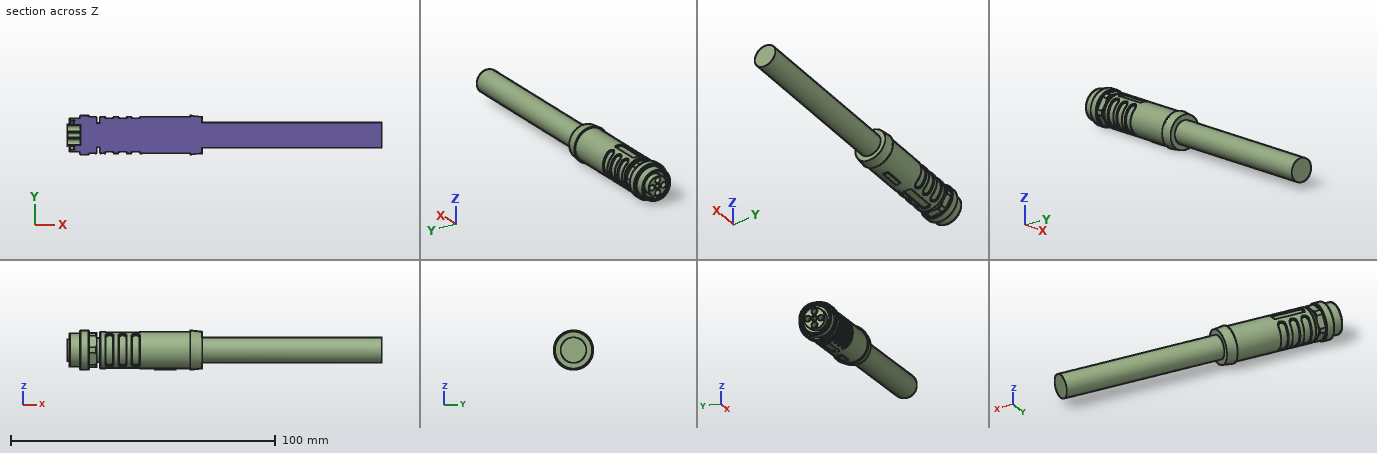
import cadquery as cq
import math


overall_length = 119.14
nut_front = 0.75
ring_front = 4.75
ring_back = 8.4
hex_back = 11.3
body_front = 12.35
collar_front = 46.7
collar_back = 51.1

insert_diameter = 8.3
nut_diameter = 12.8
nut_tip_diameter = 12.3
nut_mouth_diameter = 11.8
nut_bore_diameter = 10.95
ring_diameter = 15.0
hex_corner_diameter = 14.0
neck_diameter = 9.3
body_diameter = 14.0
cable_diameter = 9.7

hex_sides = 6
hex_across_flats = 13.0
ring_chamfer = 0.4
hex_end_chamfer = 0.4
nut_bore_depth = 3.0
nut_tip_chamfer_length = 0.35
nut_mouth_chamfer = (nut_mouth_diameter - nut_bore_diameter) / 2

contact_hole_diameter = 2.3
contact_count = 4
contact_circle_radius = 2.6
center_hole_diameter = 1.7
center_countersink_diameter = 2.3
contact_hole_depth = 5.0

body_front_chamfer = 0.35
grip_start = 14.35
groove_count = 3
groove_width = 3.3
groove_pitch = 5.0
groove_depth = 0.5
groove_wall_chamfer = 0.3
groove_end_offset = 3.1
label_width = 3.4
label_corner_radius = 0.7
label_depth = 0.75

pad_center = 37.2
pad_length = 8.0
pad_width = 2.0


def cylinder(diameter, start, end):
    """Cylinder about the X axis between two stations."""
    return cq.Workplane("YZ", origin=(start, 0, 0)).circle(diameter / 2).extrude(end - start)


def cone(start_diameter, end_diameter, start, end):
    """Truncated cone about the X axis between two stations."""
    origin = cq.Vector(start, 0, 0)
    direction = cq.Vector(1, 0, 0)
    return cq.Workplane(
        cq.Solid.makeCone(start_diameter / 2, end_diameter / 2, end - start, origin, direction)
    )


def make_nut():
    sleeve = cylinder(nut_diameter, nut_front, ring_front)
    sleeve = sleeve.faces("<X").chamfer(nut_tip_chamfer_length, (nut_diameter - nut_tip_diameter) / 2)
    ring = cylinder(ring_diameter, ring_front, ring_back).edges().chamfer(ring_chamfer)
    hex_envelope = cylinder(hex_corner_diameter, ring_back, hex_back)
    hex_envelope = hex_envelope.faces(">X").chamfer(hex_end_chamfer)
    hexagon = (
        cq.Workplane("YZ", origin=(ring_back, 0, 0))
        .polygon(hex_sides, hex_across_flats / math.cos(math.pi / hex_sides))
        .extrude(hex_back - ring_back)
        .intersect(hex_envelope)
    )
    bore = cylinder(nut_bore_diameter, nut_front, nut_front + nut_bore_depth)
    mouth = cone(nut_mouth_diameter, nut_bore_diameter, nut_front, nut_front + nut_mouth_chamfer)
    return sleeve.union(ring).union(hexagon).cut(bore).cut(mouth)


def make_seal():
    """O-ring filling the gap between insert and nut bore, resting on the bore floor."""
    tube_radius = (nut_bore_diameter - insert_diameter) / 4
    center_radius = (nut_bore_diameter + insert_diameter) / 4
    floor = nut_front + nut_bore_depth
    ring = cq.Solid.makeTorus(
        center_radius, tube_radius, cq.Vector(floor - tube_radius, 0, 0), cq.Vector(1, 0, 0)
    )
    backing = cylinder(nut_bore_diameter, floor - tube_radius, floor)
    return backing.union(cq.Workplane(ring))


def make_contact_holes():
    """Cutter for the ring of contact holes and the countersunk center hole."""
    holes = (
        cq.Workplane("YZ")
        .polarArray(contact_circle_radius, 0, 360, contact_count)
        .circle(contact_hole_diameter / 2)
        .extrude(contact_hole_depth)
    )
    center_hole = cylinder(center_hole_diameter, 0, contact_hole_depth)
    countersink_depth = (center_countersink_diameter - center_hole_diameter) / 2
    countersink = cone(center_countersink_diameter, center_hole_diameter, 0, countersink_depth)
    return holes.union(center_hole).union(countersink)


def make_side_groove(left, side):
    """Cutter for one groove wrapped round the +Y or -Y side, ending in rounded tips."""
    floor_diameter = body_diameter - 2 * groove_depth
    right = left + groove_width
    radius = groove_width / 2
    skin = cylinder(body_diameter + 2 * groove_depth, left, right).cut(cylinder(floor_diameter, left, right))
    outline = (
        cq.Workplane("XY")
        .moveTo(left, side * body_diameter)
        .lineTo(left, side * (groove_end_offset + radius))
        .threePointArc(
            (left + radius, side * groove_end_offset),
            (right, side * (groove_end_offset + radius)),
        )
        .lineTo(right, side * body_diameter)
        .close()
        .extrude(body_diameter, both=True)
    )
    groove = skin.intersect(outline)
    axis_point = (left, 0, 0)
    floor_face = groove.faces("%CYLINDER").faces(cq.selectors.NearestToPointSelector(axis_point))
    return floor_face.edges().chamfer(groove_wall_chamfer)


def make_label_recess(side):
    """Cutter for the flat-bottomed label recess on the top (+1) or bottom (-1) of the grip."""
    length = (groove_count - 1) * groove_pitch + groove_width
    floor = body_diameter / 2 - label_depth
    return (
        cq.Workplane("XY", origin=(grip_start + length / 2, 0, side * floor))
        .rect(length, label_width)
        .extrude(side * body_diameter)
        .edges("|Z")
        .fillet(label_corner_radius)
    )


def make_underside_pad():
    """Low bar under the body, its face rounded to the collar diameter."""
    return (
        cq.Workplane("XY", origin=(pad_center, 0, -ring_diameter / 2))
        .rect(pad_length, pad_width)
        .extrude(body_diameter / 2)
        .intersect(cylinder(ring_diameter, body_front, collar_front))
    )


def make_collar():
    """Strain-relief collar, tapering from the ring diameter to the body diameter."""
    return cone(ring_diameter, body_diameter, collar_front, collar_back)


def make_body():
    body = cylinder(body_diameter, body_front, collar_front)
    body = body.faces("<X").chamfer(body_front_chamfer)
    for side in (1, -1):
        for index in range(groove_count):
            body = body.cut(make_side_groove(grip_start + index * groove_pitch, side))
        body = body.cut(make_label_recess(side))
    return body.union(make_underside_pad()).union(make_collar())


insert = cylinder(insert_diameter, 0, ring_back)
neck = cylinder(neck_diameter, ring_back, body_front)
cable = cylinder(cable_diameter, collar_front, overall_length)
result = insert.union(make_nut()).union(make_seal()).union(neck).union(make_body()).union(cable)
result = result.cut(make_contact_holes())